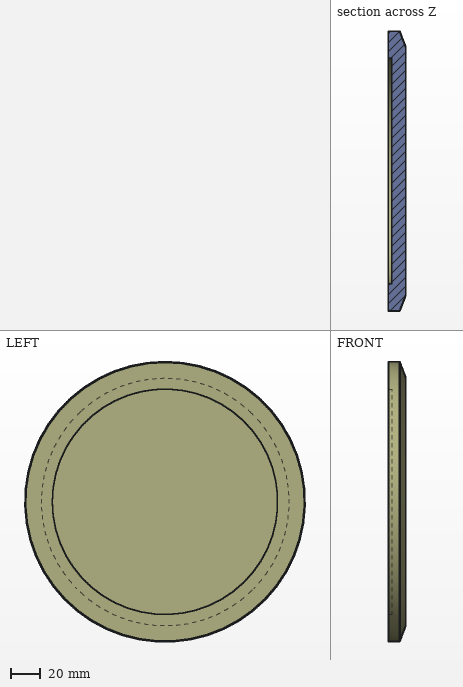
import cadquery as cq

outer_radius = 95.0
thickness = 12.2
shoulder_position = 8.2
back_radius = 84.0
edge_break = 0.5

recess_radius = 76.4
recess_depth = 2.5

profile = [
    (0, 0),
    (0, outer_radius - edge_break),
    (edge_break, outer_radius),
    (shoulder_position - edge_break, outer_radius),
    (shoulder_position, outer_radius - edge_break),
    (thickness, back_radius),
    (thickness, 0),
]
disc = cq.Workplane("XZ").polyline(profile).close().revolve(360, (0, 0, 0), (1, 0, 0))

recess = cq.Workplane("YZ").circle(recess_radius).extrude(recess_depth)

result = disc.cut(recess)